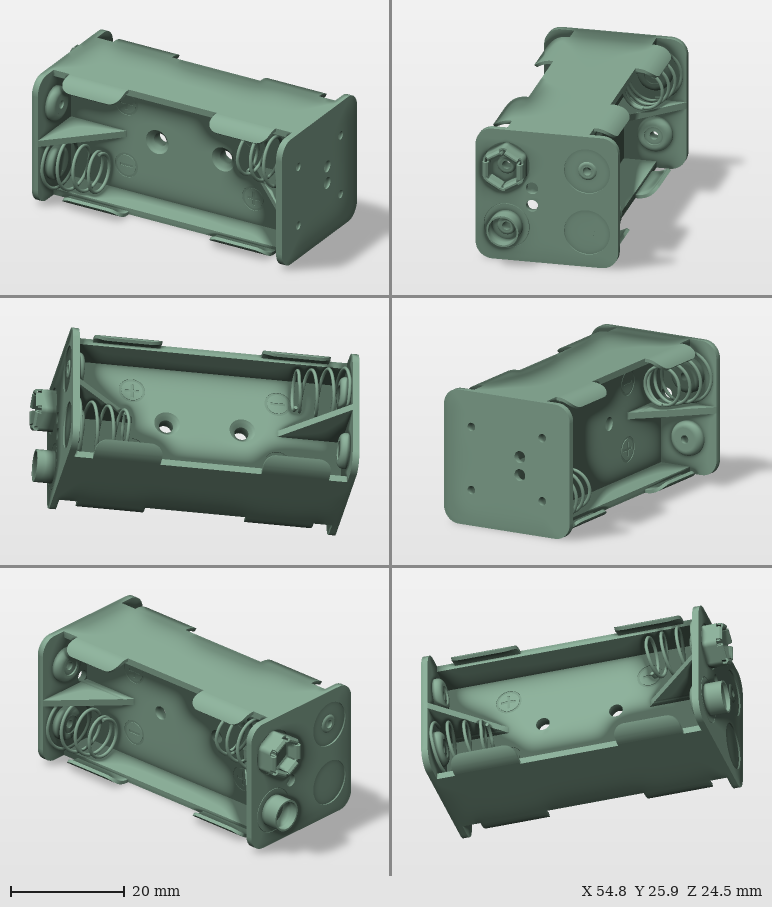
import cadquery as cq
import math

housing_length = 51.2
housing_width = 25.85
housing_height = 24.5
wall = 1.2
corner_radius = 3.0
plate_width = 14.9
web_thickness = 3.0
half_length = housing_length / 2
half_width = housing_width / 2
half_height = housing_height / 2
inner_end = half_length - wall

cell_y = 7.3
cell_z = 5.75

clip_length = 12.05
clip_x = 15.05
clip_thickness = 0.6
clip_radius = 4.4
clip_start_y = 7.85
clip_tip_y = 11.35
clip_corner_radius = 2.2

screw_x = 6.75
screw_diameter = 2.5
screw_sink_diameter = 4.6
sink_angle = 90.0
wire_hole_radius = 1.1
wire_hole_y = 2.7
wire_hole_z = 1.65

mark_x = 13.05
mark_z = 6.1
mark_radius = 2.35
mark_inner_radius = 1.9
mark_depth = 0.1
bar_length = 2.65
bar_width = 0.5

boss_radius = 3.2
boss_height = 1.55
boss_fillet = 1.05
dish_radius = 1.7
dish_depth = 0.35
seat_radius = 4.15
seat_depth = 0.3
shank_radius = 1.25
bore_radius = 0.75
head_top_radius = 1.1
head_height = 0.245
rivet_length = wall + boss_height
dish_floor = rivet_length - dish_depth

stud_flange_radius = 4.05
stud_radius = 2.9
stud_wall = 0.35
stud_height = 3.25
socket_flats = 7.3
socket_corner_radius = 0.95
socket_wall = 0.35
socket_rim = 2.6
socket_height = 3.55
finger_width = 2.65
finger_hook_radius = 2.6
finger_hook_end = 1.1
finger_bevel = 0.4

wire_radius = 0.3
spring_turns = 3
spring_base_radius = 4.75
spring_tip_radius = 3.5
spring_length = 9.5
spring_clearance = 0.01
spring_flat_base = 0.25
spring_flat_tip = 0.75
steps_per_turn = 24


def end_plate(side):
    plate = (
        cq.Workplane("YZ")
        .rect(housing_width, housing_height)
        .extrude(wall)
        .edges("|X")
        .fillet(corner_radius)
    )
    return plate.translate((inner_end if side > 0 else -half_length, 0, 0))


def divider(side_x, side_y):
    """Triangular shelf between the two cells of a bay, braced against an end plate."""
    reach = half_width - web_thickness / 2
    corner_y = side_y * web_thickness / 2
    corner_x = side_x * inner_end
    return (
        cq.Workplane("XY")
        .polyline([
            (corner_x, corner_y),
            (corner_x - side_x * reach, corner_y),
            (corner_x, side_y * half_width),
        ])
        .close()
        .extrude(wall / 2, both=True)
    )


def clip():
    """Curved clip on the top plate at +X, +Y, with rounded free corners."""
    inner_radius = clip_radius - clip_thickness
    centre_z = half_height - clip_radius
    sweep = math.asin((clip_tip_y - clip_start_y) / clip_radius)

    def on_curve(radius, angle):
        return (clip_start_y + radius * math.sin(angle), centre_z + radius * math.cos(angle))

    root_y = plate_width / 2
    strip = (
        cq.Workplane("YZ")
        .moveTo(root_y, half_height)
        .lineTo(clip_start_y, half_height)
        .threePointArc(on_curve(clip_radius, sweep / 2), on_curve(clip_radius, sweep))
        .lineTo(*on_curve(inner_radius, sweep))
        .threePointArc(on_curve(inner_radius, sweep / 2), on_curve(inner_radius, 0))
        .lineTo(root_y, half_height - clip_thickness)
        .close()
        .extrude(clip_length / 2, both=True)
    )
    tip_middle = on_curve((clip_radius + inner_radius) / 2, sweep)
    tip_face = strip.faces(cq.selectors.NearestToPointSelector((0, *tip_middle)))
    rounded = tip_face.edges("not |X").fillet(clip_corner_radius)
    return rounded.translate((clip_x, 0, 0))


def boss():
    """Rounded contact boss pointing along +X from its base at the origin."""
    return (
        cq.Workplane("YZ")
        .circle(boss_radius)
        .extrude(boss_height)
        .faces(">X")
        .edges()
        .fillet(boss_fillet)
        .faces(">X")
        .workplane()
        .circle(dish_radius)
        .cutBlind(-dish_depth)
    )


def polarity_mark(plus):
    """Sunk ring with a plus or a minus sign, cut from y = 0 towards +Y."""
    mark = cq.Workplane("XZ").circle(mark_radius).circle(mark_inner_radius).extrude(-mark_depth)
    mark = mark.union(cq.Workplane("XZ").rect(bar_length, bar_width).extrude(-mark_depth))
    if plus:
        mark = mark.union(cq.Workplane("XZ").rect(bar_width, bar_length).extrude(-mark_depth))
    return mark


def polarity_marks():
    """The four marks of the -Y bay, placed on the web."""
    marks = cq.Workplane("XY")
    for side_x in (-1, 1):
        for side_z in (-1, 1):
            mark = polarity_mark(plus=side_x * side_z < 0)
            marks.add(mark.translate((side_x * mark_x, -web_thickness / 2, side_z * mark_z)))
    return marks.combine()


def make_housing():
    inner_length = 2 * inner_end
    body = cq.Workplane("XY").box(inner_length, web_thickness, housing_height)
    for side in (-1, 1):
        plate = cq.Workplane("XY").box(inner_length, plate_width, wall)
        body = body.union(plate.translate((0, 0, side * (half_height - wall / 2))))
        body = body.union(end_plate(side))
        for side_y in (-1, 1):
            body = body.union(divider(side, side_y))

    corner_clip = clip()
    for clips in (corner_clip, corner_clip.mirror("YZ")):
        for clips_y in (clips, clips.mirror("XZ")):
            body = body.union(clips_y).union(clips_y.mirror("XY"))

    inward_boss = boss()
    cell_axes = [(y, z) for y in (-cell_y, cell_y) for z in (-cell_z, cell_z)]
    for y, z in cell_axes:
        left_boss = inward_boss.translate((-inner_end, y, z))
        right_boss = inward_boss.mirror("YZ").translate((inner_end, y, z))
        body = body.union(left_boss).union(right_boss)

    left_face = cq.Workplane("YZ", origin=(-half_length, 0, 0))
    right_face = cq.Workplane("YZ", origin=(half_length, 0, 0))
    body = body.cut(left_face.pushPoints(cell_axes).circle(seat_radius).extrude(seat_depth))
    body = body.cut(left_face.pushPoints(cell_axes).circle(shank_radius).extrude(rivet_length))
    body = body.cut(right_face.pushPoints(cell_axes).circle(bore_radius).extrude(-rivet_length))

    wire_holes = [(wire_hole_y, -wire_hole_z), (wire_hole_y, wire_hole_z)]
    body = body.cut(left_face.pushPoints(wire_holes).circle(wire_hole_radius).extrude(housing_length))

    body = (
        body.copyWorkplane(cq.Workplane("XZ", origin=(0, -web_thickness / 2, 0)))
        .pushPoints([(-screw_x, 0), (screw_x, 0)])
        .cskHole(screw_diameter, screw_sink_diameter, sink_angle, web_thickness)
    )

    front_marks = polarity_marks()
    rear_marks = front_marks.rotate((0, 0, 0), (0, 0, 1), 180)
    return body.cut(front_marks).cut(rear_marks)


def place_on_left_end(body, y, z):
    return body.rotate((0, 0, 0), (0, 1, 0), -90).translate((-half_length, y, z))


def rivet_shank(top):
    """Solid shank with a flange filling the dish of the boss."""
    base = cq.Workplane("XY").workplane(offset=-dish_floor)
    flange = base.circle(dish_radius).extrude(-dish_depth)
    shank = base.circle(shank_radius).extrude(top + dish_floor)
    return flange.union(shank)


def bored_rivet(head_base):
    """Hollow rivet whose rounded outer head rests on head_base."""
    head_top = head_base + head_height
    overhang = dish_radius - head_top_radius
    bulge = math.sin(math.radians(45))
    head = (
        cq.Workplane("XZ")
        .moveTo(0, head_base)
        .lineTo(dish_radius, head_base)
        .threePointArc(
            (head_top_radius + bulge * overhang, head_base + bulge * head_height),
            (head_top_radius, head_top),
        )
        .lineTo(0, head_top)
        .close()
        .revolve(360, (0, 0), (0, 1))
    )
    bore = (
        cq.Workplane("XY")
        .workplane(offset=head_top)
        .circle(bore_radius)
        .extrude(-head_top - rivet_length)
    )
    return rivet_shank(head_base).union(head).cut(bore)


def make_plain_rivet():
    return rivet_shank(-seat_depth)


def make_eyelet():
    return bored_rivet(-seat_depth)


def floor_bore():
    return cq.Workplane("XY").workplane(offset=-seat_depth).circle(bore_radius).extrude(seat_depth)


def make_stud_terminal():
    """Round male snap terminal: flange in the seat, open tube and hollow rivet."""
    base = cq.Workplane("XY").workplane(offset=-seat_depth)
    flange = base.circle(stud_flange_radius).extrude(seat_depth)
    tube = cq.Workplane("XY").circle(stud_radius).circle(stud_radius - stud_wall).extrude(stud_height)
    return flange.union(tube).cut(floor_bore()).union(bored_rivet(0))


def hexagon(flats, height):
    """Hexagonal prism with corners on the X axis."""
    return cq.Workplane("XY").polygon(6, flats / math.cos(math.radians(30))).extrude(height)


def socket_finger():
    """Finger on the +X flat: runs outwards, turns over at the tip and hooks back inwards."""
    outer = socket_flats / 2
    root_z = socket_rim - socket_wall
    bend_z = socket_height - finger_bevel
    leaf_outer = finger_hook_radius + socket_wall
    fold = (
        cq.Workplane("XZ")
        .moveTo(outer, root_z)
        .lineTo(outer, bend_z)
        .lineTo(outer - finger_bevel, socket_height)
        .lineTo(finger_hook_radius + finger_bevel, socket_height)
        .lineTo(finger_hook_radius, bend_z)
        .lineTo(finger_hook_radius, finger_hook_end)
        .lineTo(leaf_outer, finger_hook_end)
        .lineTo(leaf_outer, bend_z)
        .lineTo(outer - socket_wall, bend_z)
        .lineTo(outer - socket_wall, root_z)
        .close()
    )
    return fold.extrude(finger_width / 2, both=True)


def make_socket_terminal():
    """Hexagonal female snap terminal with six spring fingers and a hollow rivet."""
    shell = (
        hexagon(socket_flats, socket_rim + seat_depth)
        .edges("|Z")
        .fillet(socket_corner_radius)
    )
    cavity = (
        hexagon(socket_flats - 2 * socket_wall, socket_rim)
        .edges("|Z")
        .fillet(socket_corner_radius - socket_wall)
    )
    body = shell.translate((0, 0, -seat_depth)).cut(cavity)
    finger = socket_finger()
    for index in range(6):
        body = body.union(finger.rotate((0, 0, 0), (0, 0, 1), 30 + 60 * index))
    return body.cut(floor_bore()).union(bored_rivet(0))


def make_spring():
    """Conical spring along +X from x = 0: flat quarter turn, three rising turns, flat end coil."""
    base_x = spring_clearance + wire_radius
    rise = spring_length - wire_radius - base_x
    taper = spring_tip_radius - spring_base_radius

    def centreline(turn):
        fraction = min(max(turn / spring_turns, 0), 1)
        radius = spring_base_radius + fraction * taper
        angle = math.pi + 2 * math.pi * turn
        return (base_x + fraction * rise, radius * math.cos(angle), radius * math.sin(angle))

    first_step = -round(spring_flat_base * steps_per_turn)
    last_step = round((spring_turns + spring_flat_tip) * steps_per_turn)
    points = [centreline(step / steps_per_turn) for step in range(first_step, last_step + 1)]
    path = cq.Workplane("XY").spline(points)
    wire_start = cq.Plane(origin=points[0], normal=(0, -1, 0))
    return cq.Workplane(wire_start).circle(wire_radius).sweep(path)


def make_springs():
    """One spring at the negative end of each cell."""
    first = make_spring().translate((-inner_end, -cell_y, -cell_z))
    opposite = first.rotate((0, 0, 0), (0, 1, 0), 180)
    springs = []
    for spring in (first, opposite):
        springs.append(spring)
        springs.append(spring.rotate((0, 0, 0), (0, 0, 1), 180))
    return springs


housing = make_housing()
springs = make_springs()
eyelet = place_on_left_end(make_eyelet(), -cell_y, cell_z)
plain_rivet = place_on_left_end(make_plain_rivet(), -cell_y, -cell_z)
socket_terminal = place_on_left_end(make_socket_terminal(), cell_y, cell_z)
stud_terminal = place_on_left_end(make_stud_terminal(), cell_y, -cell_z)

result = cq.Compound.makeCompound([
    housing.solids().val(),
    *[spring.val() for spring in springs],
    eyelet.solids().val(),
    plain_rivet.solids().val(),
    socket_terminal.solids().val(),
    stud_terminal.solids().val(),
])